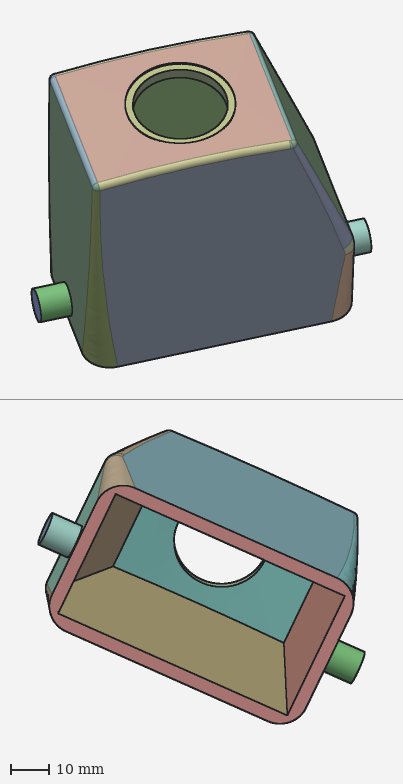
import cadquery as cq
import math

WIDTH = 43.0
HEIGHT = 72.0
PIN_SPAN = 90.0

BASE_HALF_LENGTH = 36.6
FRONT_DRAFT = 1.1 / HEIGHT
BACK_DRAFT = 1.1 / HEIGHT
KNEE_HEIGHT = 26.5
KNEE_RADIUS = 10.8
SLOPE_LEAN = 0.37
KNEE_TURN = math.atan(SLOPE_LEAN) - math.atan(BACK_DRAFT)
KNEE_TANGENT = KNEE_RADIUS * math.tan(KNEE_TURN / 2)
ROOF_RADIUS = 270.0
CROWN_Y = -4.95
WALL = 3.6

BASE_CORNER_RADIUS = 7.6
KNEE_CORNER_RADIUS = 3.5
TOP_RADIUS = 1.6
LAW_POINTS = 7

ENTRY_Y = -5.8
ENTRY_DIAMETER = 24.8
SEAT_DIAMETER = 28.9
SEAT_HEIGHT = 71.5

PIN_DIAMETER = 9.1
PIN_HEIGHT = 6.2

TOLERANCE = 0.01


def front_y(z):
    return -BASE_HALF_LENGTH + FRONT_DRAFT * z


def lower_back_y(z):
    return BASE_HALF_LENGTH - BACK_DRAFT * z


def slope_y(z):
    return lower_back_y(KNEE_HEIGHT) - SLOPE_LEAN * (z - KNEE_HEIGHT)


def roof_z(y):
    return HEIGHT - ROOF_RADIUS + math.sqrt(ROOF_RADIUS**2 - (y - CROWN_Y) ** 2)


def roof_corner(wall_y):
    """Point where a wall meets the arched roof, found by repeated substitution."""
    z = HEIGHT
    for _ in range(20):
        z = roof_z(wall_y(z))
    return wall_y(z), z


FRONT_TOP = roof_corner(front_y)
BACK_TOP = roof_corner(slope_y)


def outline(base_z):
    """Closed side outline of the hood, standing on base_z."""
    return (
        cq.Workplane("YZ")
        .moveTo(front_y(base_z), base_z)
        .lineTo(lower_back_y(base_z), base_z)
        .lineTo(lower_back_y(KNEE_HEIGHT), KNEE_HEIGHT)
        .lineTo(*BACK_TOP)
        .threePointArc((CROWN_Y, HEIGHT), FRONT_TOP)
        .close()
    )


def corner_radius(y, z):
    """Rounding radius at a place on an upright corner of the hood."""
    if y > 0 and z < KNEE_HEIGHT - KNEE_TANGENT:
        rise = z / (KNEE_HEIGHT - KNEE_TANGENT)
        return BASE_CORNER_RADIUS + (KNEE_CORNER_RADIUS - BASE_CORNER_RADIUS) * rise
    if y > 0:
        start_z, start_radius, top_z = KNEE_HEIGHT + KNEE_TANGENT, KNEE_CORNER_RADIUS, BACK_TOP[1]
    else:
        start_z, start_radius, top_z = 0, BASE_CORNER_RADIUS, FRONT_TOP[1]
    remaining = min(1, (top_z - z) / (top_z - start_z))
    return TOP_RADIUS + (start_radius - TOP_RADIUS) * remaining**2


def is_upright_corner(edge):
    """True for the side edges that lie neither in the base nor in the roof."""
    middle = edge.positionAt(0.5)
    on_side = abs(abs(middle.x) - WIDTH / 2) < TOLERANCE
    on_base = middle.z < TOLERANCE
    on_roof = middle.z > roof_z(middle.y) - TOLERANCE
    return on_side and not on_base and not on_roof


def round_upright_corners(solid):
    """Blend the upright corners with radii that shrink from the base to the roof."""
    rounding = cq.occ_impl.shapes.BRepFilletAPI_MakeFillet(solid.wrapped)
    for edge in filter(is_upright_corner, solid.Edges()):
        rounding.Add(edge.wrapped)
        chain = rounding.Contour(edge.wrapped)
        place_in_chain = next(
            i
            for i in range(1, rounding.NbEdges(chain) + 1)
            if rounding.Edge(chain, i).IsSame(edge.wrapped)
        )
        law = cq.occ_impl.shapes.TColgp_HArray1OfPnt2d(1, LAW_POINTS)
        for i in range(LAW_POINTS):
            share = i / (LAW_POINTS - 1)
            place = edge.positionAt(share)
            radius = corner_radius(place.y, place.z)
            law.SetValue(i + 1, cq.occ_impl.shapes.gp_Pnt2d(share, radius))
        rounding.SetRadius(law, chain, place_in_chain)
    return cq.Workplane(cq.Shape.cast(rounding.Shape()))


def is_roof_edge(edge):
    middle = edge.positionAt(0.5)
    return middle.z > roof_z(middle.y) - TOLERANCE


def make_shell():
    block = outline(0).extrude(WIDTH / 2, both=True)
    knee = cq.selectors.NearestToPointSelector((0, lower_back_y(KNEE_HEIGHT), KNEE_HEIGHT))
    block = block.edges(knee).fillet(KNEE_RADIUS)
    body = round_upright_corners(block.val())
    roof_edges = [edge for edge in body.edges().vals() if is_roof_edge(edge)]
    body = body.newObject(roof_edges).fillet(TOP_RADIUS)

    cavity = (
        outline(-WALL)
        .offset2D(-WALL, "intersection")
        .extrude(WIDTH / 2 - WALL, both=True)
    )
    return body.cut(cavity)


def cut_cable_entry(shell):
    """Bore the roof and flatten a shallow round seat around the bore."""
    seat_plane = cq.Workplane("XY", origin=(0, ENTRY_Y, SEAT_HEIGHT))
    seat = seat_plane.circle(SEAT_DIAMETER / 2).extrude(HEIGHT - SEAT_HEIGHT)
    bore = seat_plane.circle(ENTRY_DIAMETER / 2).extrude(-2 * WALL)
    return shell.cut(seat).cut(bore)


def make_pin(side):
    """Pin from the middle of an end wall outwards; side is -1 for front, 1 for back."""
    wall_y = front_y(PIN_HEIGHT) if side < 0 else lower_back_y(PIN_HEIGHT)
    length = PIN_SPAN / 2 - abs(wall_y) + WALL / 2
    return (
        cq.Workplane("XZ", origin=(0, side * PIN_SPAN / 2, PIN_HEIGHT))
        .circle(PIN_DIAMETER / 2)
        .extrude(side * length)
    )


result = cut_cable_entry(make_shell())
for end in (-1, 1):
    result = result.union(make_pin(end))
result = result.clean()